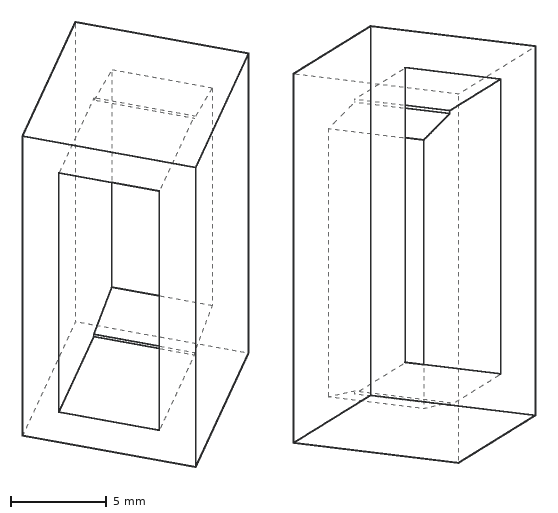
import cadquery as cq

width = 9.5
depth = 10.0
height = 20.2

side_wall = 2.0
end_wall = 2.05
passage_width = width - 2 * side_wall
passage_half_height = height / 2 - end_wall

step_height = 0.16
ramp_height = 0.57
ramp_length = 3.4

back = depth / 2
lip_front = back - ramp_length
step_level = passage_half_height - step_height
throat_level = step_level - ramp_height


def make_block():
    return cq.Workplane("XY").box(width, depth, height)


def make_passage():
    """Passage whose top and bottom narrow symmetrically at the rear."""
    profile = (
        cq.Workplane("YZ")
        .moveTo(-back, -passage_half_height)
        .lineTo(lip_front, -passage_half_height)
        .lineTo(lip_front, -step_level)
        .lineTo(back, -throat_level)
        .lineTo(back, throat_level)
        .lineTo(lip_front, step_level)
        .lineTo(lip_front, passage_half_height)
        .lineTo(-back, passage_half_height)
        .close()
    )
    return profile.extrude(passage_width / 2, both=True)


result = make_block().cut(make_passage())